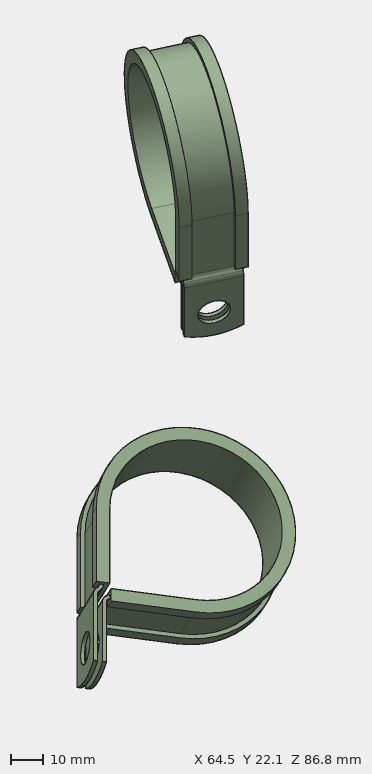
import cadquery as cq
import math

total_height = 86.8
outer_diameter = 64.05
outer_radius = outer_diameter / 2
cushion_thickness = 4.3
cushion_width = 22.1
inner_radius = outer_radius - cushion_thickness
side_leg_end_z = -25.9
bottom_leg_end_x = 27.25

groove_width = 13.9
groove_depth = 1.5

strap_thickness = 1.3
strap_width = 19.1
strap_outer = outer_radius - groove_depth
strap_inner = strap_outer - strap_thickness
strap_embed = 1.7
inner_tab_x = 28.3
outer_tab_x = 31.15
jog_start_z = -26.55
bend_inner_radius = 1.1
bend_outer_radius = bend_inner_radius + strap_thickness
tab_bottom_z = outer_radius - total_height
tab_end_sagitta = 2.2
hole_diameter = 10.4
hole_to_tab_bottom = 11.1


def loop_profile(outside, inside):
    """Teardrop band: three quarters of a ring plus two straight legs."""
    diagonal = math.sqrt(0.5)
    return (
        cq.Workplane("XZ")
        .moveTo(outside, side_leg_end_z)
        .lineTo(outside, 0)
        .threePointArc((-outside * diagonal, outside * diagonal), (0, -outside))
        .lineTo(bottom_leg_end_x, -outside)
        .lineTo(bottom_leg_end_x, -inside)
        .lineTo(0, -inside)
        .threePointArc((-inside * diagonal, inside * diagonal), (inside, 0))
        .lineTo(inside, side_leg_end_z)
        .close()
    )


def make_cushion():
    body = loop_profile(outer_radius, inner_radius).extrude(cushion_width / 2, both=True)
    groove = loop_profile(outer_radius, strap_outer).extrude(groove_width / 2, both=True)
    return body.cut(groove)


def fillet_corners(strip, corners, radius):
    """Round the edges along Y at the given (x, z) corners."""
    for x, z in corners:
        edge = cq.selectors.NearestToPointSelector((x, 0, z))
        strip = strip.edges("|Y").edges(edge).fillet(radius)
    return strip


def make_outer_tab():
    """Strap end leaving the side leg, stepped outward by a 45 degree jog."""
    step = outer_tab_x - strap_inner
    miter = strap_thickness * math.tan(math.radians(22.5))
    corners = [
        (strap_inner, side_leg_end_z + strap_embed),
        (strap_inner, jog_start_z - miter / 2),
        (outer_tab_x, jog_start_z - step - miter / 2),
        (outer_tab_x, tab_bottom_z),
        (outer_tab_x + strap_thickness, tab_bottom_z),
        (outer_tab_x + strap_thickness, jog_start_z - step + miter / 2),
        (strap_outer, jog_start_z + miter / 2),
        (strap_outer, side_leg_end_z + strap_embed),
    ]
    strip = cq.Workplane("XZ").polyline(corners).close().extrude(strap_width / 2, both=True)
    inside_of_bends = [corners[2], corners[6]]
    outside_of_bends = [corners[1], corners[5]]
    strip = fillet_corners(strip, inside_of_bends, bend_inner_radius)
    return fillet_corners(strip, outside_of_bends, bend_outer_radius)


def make_inner_tab():
    """Strap end leaving the bottom leg, bent straight down."""
    start_x = bottom_leg_end_x - strap_embed
    tab_outer_x = inner_tab_x + strap_thickness
    corners = [
        (start_x, -strap_inner),
        (tab_outer_x, -strap_inner),
        (tab_outer_x, tab_bottom_z),
        (inner_tab_x, tab_bottom_z),
        (inner_tab_x, -strap_outer),
        (start_x, -strap_outer),
    ]
    strip = cq.Workplane("XZ").polyline(corners).close().extrude(strap_width / 2, both=True)
    strip = fillet_corners(strip, [(tab_outer_x, -strap_inner)], bend_outer_radius)
    return fillet_corners(strip, [(inner_tab_x, -strap_outer)], bend_inner_radius)


def make_tab_outline():
    """Block with the rounded tab end and bolt hole, used to trim both tabs."""
    half_width = strap_width / 2
    corner_z = tab_bottom_z + tab_end_sagitta
    outline = (
        cq.Workplane("YZ")
        .moveTo(-half_width, 0)
        .lineTo(-half_width, corner_z)
        .threePointArc((0, tab_bottom_z), (half_width, corner_z))
        .lineTo(half_width, 0)
        .close()
        .extrude(outer_diameter)
    )
    hole = (
        cq.Workplane("YZ")
        .center(0, tab_bottom_z + hole_to_tab_bottom)
        .circle(hole_diameter / 2)
        .extrude(outer_diameter)
    )
    return outline.cut(hole)


tabs = make_outer_tab().union(make_inner_tab()).intersect(make_tab_outline())
result = make_cushion().union(tabs)